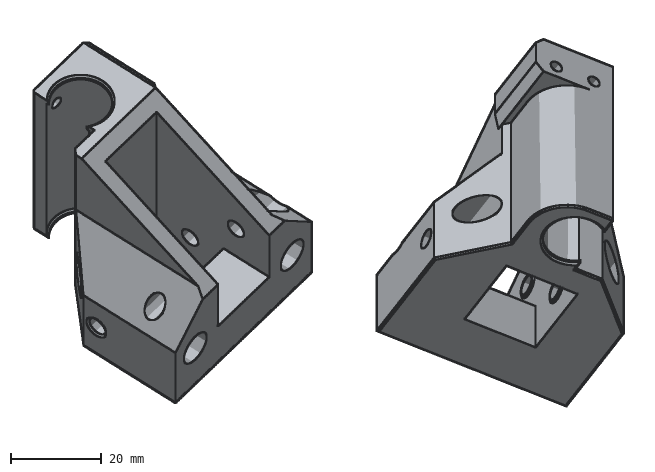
import cadquery as cq
import math

length = 56.0
width = 48.0
height = 48.0
half_width = width / 2
base_chamfer = 0.4

socket_width = 18.0
socket_depth = 19.0
socket_start_x = 24.0
side_wall = 4.05
body_half_width = socket_width / 2 + side_wall
socket_end_x = socket_start_x + socket_depth
socket_floor_z = length - socket_end_x

wing_corner_x = 29.9
wing_edge_z = 17.9
wing_top_z = wing_edge_z + half_width - body_half_width
wing_hole_diameter = 8.0
wing_hole_y = 17.0
wing_hole_z = 13.0

slope_start_x = 20.5
slope_angle = math.radians(30)

sleeve_radius = 10.0
sleeve_center_y = 1.5
mouth_y = -4.9
mouth_corner_x = 0.6
mouth_corner_y = 0.4
neck_x = 17.6
bore_x = sleeve_radius
bore_y = -0.4
bore_radius = 7.5
lip_step = 0.5

block_height = 10.1
block_y = 15.0
block_chamfer = block_y - body_half_width
block_hole_diameter = 2.8
block_hole_depth = 10.0
block_hole_z = 41.0
block_hole_places_y = (0.3, 9.8)

bolt_diameter = 4.6
lower_bolt = (socket_start_x + socket_depth / 2, socket_depth / 2)
upper_bolt = (length - socket_depth / 2, socket_floor_z + socket_depth / 2)
countersink_diameter = 5.6
head_diameter = 10.15
boss_diameter = 6.0
boss_height = 0.4


def cylinder_along_y(center, diameter, y_start, y_end):
    x, z = center
    return cq.Workplane(
        cq.Solid.makeCylinder(diameter / 2, y_end - y_start, cq.Vector(x, y_start, z), cq.Vector(0, 1, 0))
    )


def cone_along_y(center, start_diameter, end_diameter, y_start, depth):
    x, z = center
    return cq.Workplane(
        cq.Solid.makeCone(
            start_diameter / 2, end_diameter / 2, depth, cq.Vector(x, y_start, z), cq.Vector(0, 1, 0)
        )
    )


def cylinder_along_x(y, z, diameter, depth):
    return cq.Workplane("YZ").center(y, z).circle(diameter / 2).extrude(depth)


def make_body():
    """Sleeve and winged body from one footprint, trimmed to the winged cross-section."""
    back_y = sleeve_center_y + sleeve_radius
    diagonal_offset = half_width - wing_corner_x
    arc_reach = sleeve_radius * math.sqrt(0.5)
    footprint = (
        cq.Workplane("XY")
        .moveTo(0, mouth_y + mouth_corner_y)
        .lineTo(mouth_corner_x, mouth_y)
        .lineTo(neck_x, mouth_y)
        .lineTo(neck_x, -neck_x - diagonal_offset)
        .lineTo(wing_corner_x, -half_width)
        .lineTo(length, -half_width)
        .lineTo(length, half_width)
        .lineTo(wing_corner_x, half_width)
        .lineTo(back_y - diagonal_offset, back_y)
        .lineTo(sleeve_radius, back_y)
        .threePointArc(
            (sleeve_radius - arc_reach, sleeve_center_y + arc_reach),
            (0, sleeve_center_y),
        )
        .close()
        .extrude(height)
        .faces("<Z")
        .chamfer(base_chamfer)
    )
    section = (
        cq.Workplane("YZ")
        .polyline([
            (-half_width, 0),
            (half_width, 0),
            (half_width, wing_edge_z),
            (body_half_width, wing_top_z),
            (body_half_width, height),
            (-body_half_width, height),
            (-body_half_width, wing_top_z),
            (-half_width, wing_edge_z),
        ])
        .close()
        .extrude(length)
    )
    return footprint.intersect(section)


def make_switch_block():
    return (
        cq.Workplane("XY")
        .box(slope_start_x, block_y - sleeve_center_y, block_height, centered=False)
        .translate((0, sleeve_center_y, height - block_height))
        .edges(">Y and (>X or >Z or <Z)")
        .chamfer(block_chamfer)
    )


def make_slope_cutter():
    drop = (length - slope_start_x) * math.tan(slope_angle)
    return (
        cq.Workplane("XZ")
        .polyline([(slope_start_x, height), (length, height), (length, height - drop)])
        .close()
        .extrude(half_width, both=True)
    )


def make_socket_cutter():
    upright = cq.Workplane("XY").box(
        socket_depth, socket_width, height, centered=(False, True, False)
    ).translate((socket_start_x, 0, 0))
    level = cq.Workplane("XY").box(
        length - socket_start_x, socket_width, height, centered=(False, True, False)
    ).translate((socket_start_x, 0, socket_floor_z))
    return upright.union(level)


def make_head_recess():
    """Round-bottomed recess for the upper bolt head, open upwards through the wing slope."""
    x, z = upper_bolt
    depth = half_width - body_half_width
    open_top = cq.Workplane("XY").box(
        head_diameter, depth, height - z, centered=(True, False, False)
    ).translate((x, body_half_width, z))
    return cylinder_along_y(upper_bolt, head_diameter, body_half_width, half_width).union(open_top)


def make_bore_cutter():
    """Bearing bore with a chamfered retaining lip at each end."""
    lip_radius = bore_radius - lip_step
    profile = [
        (0, 0),
        (bore_radius, 0),
        (lip_radius, lip_step),
        (lip_radius, 2 * lip_step),
        (bore_radius, 3 * lip_step),
        (bore_radius, height - 3 * lip_step),
        (lip_radius, height - 2 * lip_step),
        (lip_radius, height - lip_step),
        (bore_radius, height),
        (0, height),
    ]
    return (
        cq.Workplane("XZ")
        .polyline(profile)
        .close()
        .revolve(360, (0, 0, 0), (0, 1, 0))
        .translate((bore_x, bore_y, 0))
    )


result = make_body().union(make_switch_block())
result = result.cut(make_slope_cutter()).cut(make_socket_cutter()).cut(make_bore_cutter())

for bolt in (lower_bolt, upper_bolt):
    boss_top_diameter = boss_diameter - 2 * boss_height
    boss = cone_along_y(bolt, boss_diameter, boss_top_diameter, -socket_width / 2, boss_height)
    result = result.union(boss)
    result = result.cut(cylinder_along_y(bolt, bolt_diameter, -half_width, half_width))

countersink_depth = (countersink_diameter - bolt_diameter) / 2
result = result.cut(
    cone_along_y(lower_bolt, countersink_diameter, bolt_diameter, -half_width, countersink_depth)
)
result = result.cut(make_head_recess())

for side in (-1, 1):
    result = result.cut(cylinder_along_x(side * wing_hole_y, wing_hole_z, wing_hole_diameter, length))

for hole_y in block_hole_places_y:
    result = result.cut(cylinder_along_x(hole_y, block_hole_z, block_hole_diameter, block_hole_depth))